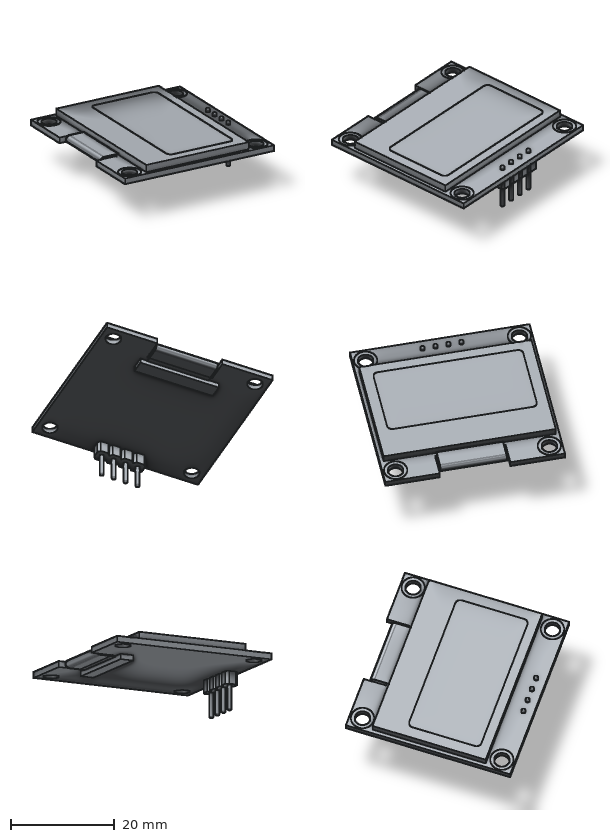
import cadquery as cq
import math

board_length = 35.4
board_width = 33.5
board_thickness = 1.2
notch_length = 13.88
notch_depth = 4.53

hole_diameter = 3.0
hole_inset = 2.55
pad_diameter = 4.5
pad_depth = 0.07

display_length = 33.9
display_width = 23.05
display_height = 1.5
display_front = 5.2
window_length = 29.5
window_width = 14.7
window_front = 11.6
window_corner_radius = 1.0
window_depth = 0.07

ribbon_length = 13.1
ribbon_thickness = 0.15
ribbon_rise = 0.3
ribbon_front = 1.17

connector_length = 16.75
connector_left = 9.7
connector_front = 5.35
connector_width = 2.7
connector_height = 1.05

pin_count = 4
pin_pitch = 2.55
pin_diameter = 0.85
pin_dome_height = 0.35
pin_rise = 0.75
overall_height = 10.2
header_width = 2.6
header_height = 2.5
header_chamfer_x = 0.5
header_chamfer_y = 0.55
header_inset = 2.02

center_x = board_length / 2
board_bottom = -board_thickness
header_y = board_width - header_inset
pin_bottom = display_height - overall_height


def block(length, width, height, left, front, bottom):
    """Rectangular block placed by its left, front and bottom sides."""
    return cq.Workplane("XY").box(length, width, height, centered=False).translate((left, front, bottom))


def make_board():
    notch_left = center_x - notch_length / 2
    board = block(board_length, board_width, board_thickness, 0, 0, board_bottom)
    board = board.cut(block(notch_length, notch_depth, board_thickness, notch_left, 0, board_bottom))
    hole_centers = [
        (x, y)
        for x in (hole_inset, board_length - hole_inset)
        for y in (hole_inset, board_width - hole_inset)
    ]
    return (
        board.faces(">Z")
        .workplane(origin=(0, 0, 0))
        .pushPoints(hole_centers)
        .cboreHole(hole_diameter, pad_diameter, pad_depth)
    )


def make_display():
    display_left = center_x - display_length / 2
    window_left = center_x - window_length / 2
    window_bottom = display_height - window_depth
    panel = block(display_length, display_width, display_height, display_left, display_front, 0)
    window = block(window_length, window_width, window_depth, window_left, window_front, window_bottom)
    return panel.cut(window.edges("|Z").fillet(window_corner_radius))


def make_ribbon():
    """Thin strip running from the display, around a half-circle bend, to the connector."""
    outer_bottom = board_bottom - ribbon_thickness
    outer_radius = (ribbon_rise - outer_bottom) / 2
    inner_radius = outer_radius - ribbon_thickness
    middle_z = ribbon_rise - outer_radius
    bend_y = ribbon_front + outer_radius
    return (
        cq.Workplane("YZ", origin=(center_x - ribbon_length / 2, 0, 0))
        .moveTo(display_front, ribbon_rise)
        .lineTo(bend_y, ribbon_rise)
        .threePointArc((ribbon_front, middle_z), (bend_y, outer_bottom))
        .lineTo(connector_front, outer_bottom)
        .lineTo(connector_front, board_bottom)
        .lineTo(bend_y, board_bottom)
        .threePointArc((bend_y - inner_radius, middle_z), (bend_y, middle_z + inner_radius))
        .lineTo(display_front, middle_z + inner_radius)
        .close()
        .extrude(ribbon_length)
    )


def make_connector():
    bottom = board_bottom - connector_height
    return block(
        connector_length, connector_width, connector_height, connector_left, connector_front, bottom
    )


def make_header_pin(x):
    """One eight-sided header housing with its round-tipped pin, passing through the board."""
    half_x = pin_pitch / 2
    half_y = header_width / 2
    flat_x = half_x - header_chamfer_x
    flat_y = half_y - header_chamfer_y
    outline = [
        (-flat_x, -half_y),
        (flat_x, -half_y),
        (half_x, -flat_y),
        (half_x, flat_y),
        (flat_x, half_y),
        (-flat_x, half_y),
        (-half_x, flat_y),
        (-half_x, -flat_y),
    ]
    housing = (
        cq.Workplane("XY", origin=(x, header_y, board_bottom))
        .polyline(outline)
        .close()
        .extrude(-header_height)
    )
    pin_radius = pin_diameter / 2
    dome_radius = (pin_radius**2 + pin_dome_height**2) / (2 * pin_dome_height)
    arc_x = pin_radius / 2
    arc_drop = dome_radius - math.sqrt(dome_radius**2 - arc_x**2)
    pin = (
        cq.Workplane("XZ", origin=(x, header_y, 0))
        .moveTo(0, pin_bottom)
        .threePointArc((arc_x, pin_bottom + arc_drop), (pin_radius, pin_bottom + pin_dome_height))
        .lineTo(pin_radius, pin_rise - pin_dome_height)
        .threePointArc((arc_x, pin_rise - arc_drop), (0, pin_rise))
        .close()
        .revolve(360, (0, 0), (0, 1))
    )
    return housing.union(pin)


result = make_board().union(make_display()).union(make_connector()).union(make_ribbon())
for index in range(pin_count):
    pin_x = center_x + (index - (pin_count - 1) / 2) * pin_pitch
    result = result.union(make_header_pin(pin_x))